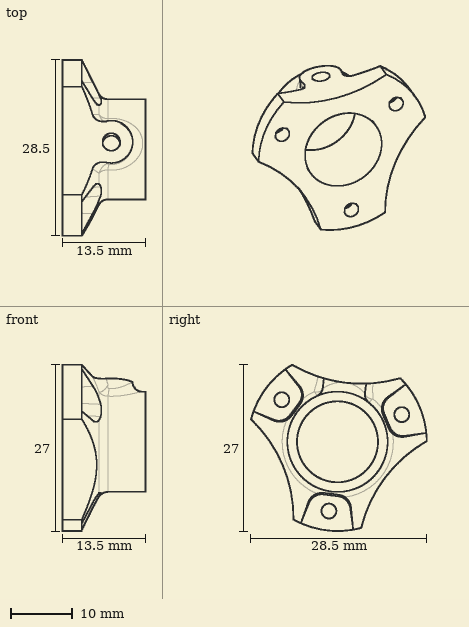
import math
import cadquery as cq


total_length = 13.49
bore_diameter = 13.1
tube_diameter = 16.27
flange_thickness = 3.175
flange_radius = 14.4875
cone_end_x = 2 * flange_thickness
blend_radius = 1.5875

arm_count = 3
arm_pitch = 360 / arm_count
first_arm_angle = 22.94
arm_half_angle = 22.5
scallop_radius = 22.225

bolt_hole_diameter = 2.38
bolt_to_rim = 3.175
bolt_circle_radius = flange_radius - bolt_to_rim
recess_back_distance = 8.76
recess_back_half_width = 2.92
recess_corner_radius = 2.2
recess_flare_angle = 15
recess_draft_angle = 5

boss_angle = first_arm_angle + arm_pitch / 2
boss_x = 7.94
boss_radius = 3.47
set_screw_diameter = 2.85


def about_axis(shape, angle):
    """Turn a shape that points along +Y to the given angle about X."""
    return shape.rotate((0, 0, 0), (1, 0, 0), angle)


def on_each(shape, start_angle):
    """Copies of a shape that points along +Y, one per arm pitch."""
    return [about_axis(shape, start_angle + i * arm_pitch) for i in range(arm_count)]


def boss_cylinder(diameter):
    """Cylinder on the boss axis, from the X axis out to the flange radius."""
    base = cq.Plane(origin=(boss_x, 0, 0), xDir=(-1, 0, 0), normal=(0, 1, 0))
    cylinder = cq.Workplane(base).circle(diameter / 2).extrude(flange_radius)
    return about_axis(cylinder, boss_angle)


def turned_body():
    """Flange, cone and tube, with a blend where the cone meets the tube."""
    tube_radius = tube_diameter / 2
    profile = (
        cq.Workplane("XY")
        .lineTo(0, -flange_radius)
        .lineTo(flange_thickness, -flange_radius)
        .lineTo(cone_end_x, -tube_radius)
        .lineTo(total_length, -tube_radius)
        .lineTo(total_length, 0)
        .close()
    )
    body = about_axis(profile.revolve(360, (0, 0, 0), (1, 0, 0)), boss_angle)
    cone_end_edge = [
        edge for edge in body.edges("%CIRCLE").vals() if abs(edge.Center().x - cone_end_x) < blend_radius
    ]
    return body.newObject(cone_end_edge).fillet(blend_radius)


def add_boss(body):
    """Radial boss, blended where it runs into the cone and the tube."""
    joined = body.union(boss_cylinder(2 * boss_radius))
    return joined.edges("not(%CIRCLE or %LINE)").fillet(blend_radius)


def scallop_cutter():
    """Cylinder along X that passes through the arm corners on either side of it."""
    corner_angle = math.radians(arm_pitch / 2 - arm_half_angle)
    chord_distance = flange_radius * math.cos(corner_angle)
    half_chord = flange_radius * math.sin(corner_angle)
    centre_distance = chord_distance + math.sqrt(scallop_radius**2 - half_chord**2)
    return cq.Workplane("YZ").center(centre_distance, 0).circle(scallop_radius).extrude(total_length)


def bolt_hole_cutter():
    """Hole through the flange at the bolt circle."""
    hole = cq.Workplane("YZ").center(bolt_circle_radius, 0).circle(bolt_hole_diameter / 2)
    return hole.extrude(flange_thickness)


def recess_cutter():
    """Pocket with a flat back and flared sides, open at the rim and wider towards the tube end."""
    outer_distance = 2 * flange_radius
    flare = math.tan(math.radians(recess_flare_angle))
    outer_half_width = recess_back_half_width + flare * (outer_distance - recess_back_distance)
    outline = [
        (recess_back_distance, -recess_back_half_width),
        (outer_distance, -outer_half_width),
        (outer_distance, outer_half_width),
        (recess_back_distance, recess_back_half_width),
    ]
    sketch = (
        cq.Sketch()
        .polygon(outline + outline[:1])
        .vertices("<X")
        .fillet(recess_corner_radius)
    )
    floor = cq.Workplane("YZ", origin=(flange_thickness, 0, 0)).placeSketch(sketch)
    depth = cone_end_x + blend_radius / 2 - flange_thickness
    return floor.extrude(depth, taper=-recess_draft_angle)


result = add_boss(turned_body())

for scallop in on_each(scallop_cutter(), boss_angle):
    result = result.cut(scallop)
for recess in on_each(recess_cutter(), first_arm_angle):
    result = result.cut(recess)
for bolt_hole in on_each(bolt_hole_cutter(), first_arm_angle):
    result = result.cut(bolt_hole)

bore = cq.Workplane("YZ").circle(bore_diameter / 2).extrude(total_length)
result = result.cut(bore).cut(boss_cylinder(set_screw_diameter))